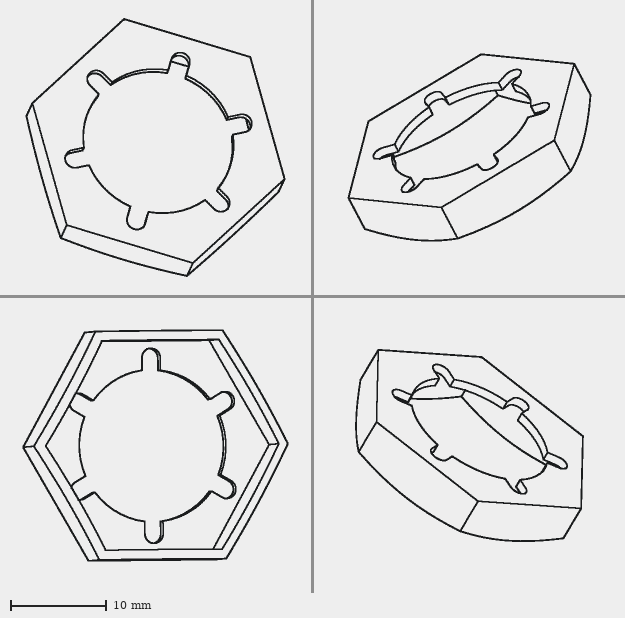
import cadquery as cq
import math

across_flats = 24.0
wall = 1.0
corner_height = 4.23
rim_angle = 24
hole_radius = 8.0
slot_width = 1.99
slot_tip_radius = 10.25
slot_count = 6
tilt_angle = 30

corner_radius = across_flats / math.sqrt(3)
cone_height = corner_radius * math.tan(math.radians(rim_angle))
full_height = corner_height + cone_height


def hex_prism(flats, top):
    """Hexagonal prism, corners on the X axis, hanging down from z = top."""
    diameter = 2 * flats / math.sqrt(3)
    return cq.Workplane("XY").workplane(offset=top).polygon(6, diameter).extrude(-full_height)


def rim_envelope():
    """Cylinder through the corners that ends in a cone below the corner height."""
    return (
        cq.Workplane("XZ")
        .lineTo(corner_radius, 0)
        .lineTo(corner_radius, -corner_height)
        .lineTo(0, -full_height)
        .close()
        .revolve(360, (0, 0, 0), (0, 1, 0))
    )


def slotted_hole():
    """Round hole with radial slots, two of them along Y."""
    cutter = cq.Workplane("XY").circle(hole_radius).extrude(-wall)
    slot_centre = slot_tip_radius - slot_width / 2
    slot = (
        cq.Workplane("XY")
        .center(0, slot_centre / 2)
        .slot2D(slot_centre + slot_width, slot_width, 90)
        .extrude(-wall)
    )
    for i in range(slot_count):
        cutter = cutter.union(slot.rotate((0, 0, 0), (0, 0, 1), i * 360 / slot_count))
    return cutter


nut = hex_prism(across_flats, 0).intersect(rim_envelope())
nut = nut.cut(hex_prism(across_flats - 2 * wall, -wall)).cut(slotted_hole())

result = nut.rotate((0, 0, 0), (0, 1, 0), tilt_angle)